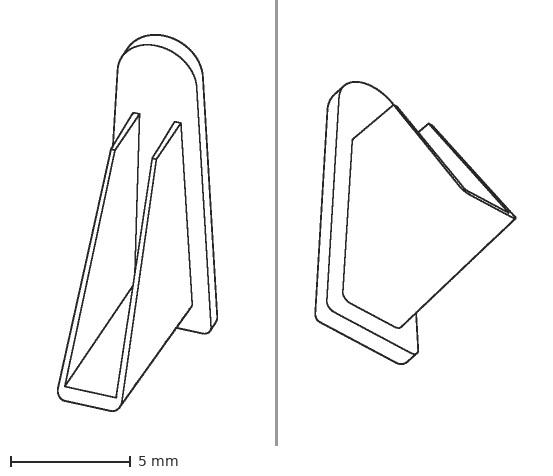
import cadquery as cq
import math

plate_width = 4.83
plate_height = 14.22
plate_thickness = 1.05
top_radius = 1.78
corner_radius = 0.4
rear_edge_radius = 0.38

bracket_reach = 8.13
draft_angle = 1.0
bracket_bottom = 1.01
bracket_top = 10.54
bracket_bottom_half = 1.59
bracket_top_half = 1.07
bracket_corner_radius = 0.4
top_edge_length = 2.76

channel_floor = 1.8
channel_floor_half = 1.01
channel_top_half = 0.78

draft_slope = math.tan(math.radians(draft_angle))


def make_plate():
    """Tapered plate with a semicircular top."""
    center_z = plate_height - top_radius
    side_angle = math.atan((plate_width / 2 - top_radius) / center_z)
    corner_x = plate_width / 2 + corner_radius * math.tan(side_angle)
    plate = (
        cq.Workplane("XZ")
        .moveTo(-corner_x, 0)
        .lineTo(corner_x, 0)
        .lineTo(top_radius, center_z)
        .threePointArc((0, plate_height), (-top_radius, center_z))
        .close()
        .extrude(-plate_thickness)
    )
    plate = plate.faces("<Z").edges("|Y").fillet(corner_radius)
    return plate.faces(">Y").edges().fillet(rear_edge_radius)


def trapezoid_points(bottom_half, bottom_z, top_half, top_z, inset):
    """Corners of a symmetric trapezoid drawn in by the inset."""
    return [
        (-bottom_half + inset, bottom_z + inset),
        (bottom_half - inset, bottom_z + inset),
        (top_half - inset, top_z - inset),
        (-top_half + inset, top_z - inset),
    ]


def drafted_trapezoid(bottom_half, bottom_z, top_half, top_z, slope):
    """Trapezoid on the plate face, lofted forward; positive slope narrows it."""
    sizes = (bottom_half, bottom_z, top_half, top_z)
    return (
        cq.Workplane("XZ")
        .polyline(trapezoid_points(*sizes, 0))
        .close()
        .workplane(offset=bracket_reach)
        .polyline(trapezoid_points(*sizes, bracket_reach * slope))
        .close()
        .loft(ruled=True)
    )


def make_bracket():
    """Drafted channel with a sloping front."""
    outer = drafted_trapezoid(
        bracket_bottom_half, bracket_bottom, bracket_top_half, bracket_top, draft_slope
    )
    outer = outer.faces("<Z").edges("<X or >X").fillet(bracket_corner_radius)
    channel = drafted_trapezoid(
        channel_floor_half, channel_floor, channel_top_half, bracket_top, -draft_slope
    )

    tip_z = bracket_bottom + bracket_reach * draft_slope
    shoulder_z = bracket_top - top_edge_length * draft_slope
    side_profile = (
        cq.Workplane("YZ")
        .polyline([
            (0, 0),
            (-bracket_reach, 0),
            (-bracket_reach, tip_z),
            (-top_edge_length, shoulder_z),
            (-top_edge_length, plate_height),
            (0, plate_height),
        ])
        .close()
        .extrude(plate_width / 2, both=True)
    )
    return outer.cut(channel).intersect(side_profile)


result = make_plate().union(make_bracket())